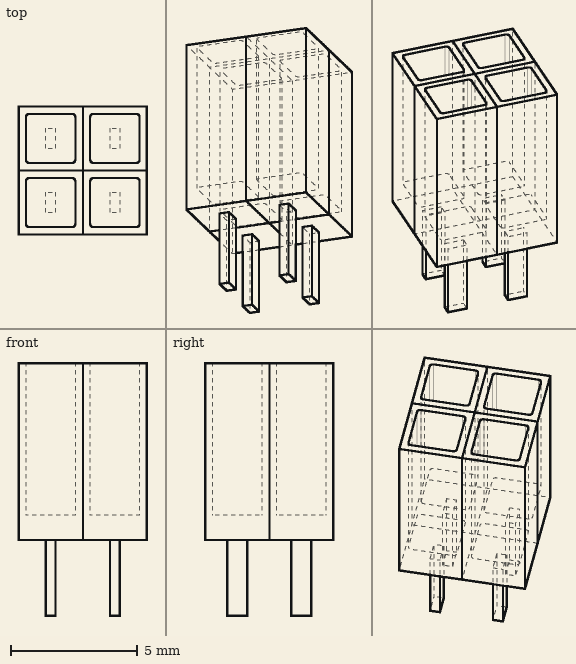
import cadquery as cq

PITCH = 2.54
ROWS = 2
COLUMNS = 2
HOUSING_HEIGHT = 7.0
POCKET_WIDTH = 1.95
POCKET_CORNER_RADIUS = 0.13
POCKET_DEPTH = 6.0
PIN_THICKNESS = 0.4
PIN_WIDTH = 0.8
PIN_LENGTH = 3.0


def make_housing(x, y):
    """Square socket housing standing on Z = 0, with a blind pocket open at the top."""
    body = cq.Workplane("XY").rect(PITCH, PITCH).extrude(HOUSING_HEIGHT)
    pocket = (
        cq.Workplane("XY")
        .workplane(offset=HOUSING_HEIGHT - POCKET_DEPTH)
        .rect(POCKET_WIDTH, POCKET_WIDTH)
        .extrude(POCKET_DEPTH)
        .edges("|Z")
        .fillet(POCKET_CORNER_RADIUS)
    )
    return body.cut(pocket).translate((x, y, 0))


def make_pin(x, y):
    """Flat pin hanging from the underside of a housing."""
    pin = cq.Workplane("XY").rect(PIN_THICKNESS, PIN_WIDTH).extrude(-PIN_LENGTH)
    return pin.translate((x, y, 0))


centres = [
    ((column - (COLUMNS - 1) / 2) * PITCH, (row - (ROWS - 1) / 2) * PITCH)
    for row in range(ROWS)
    for column in range(COLUMNS)
]

housings = [make_housing(x, y).val() for x, y in centres]
pins = [make_pin(x, y).val() for x, y in centres]

result = cq.Compound.makeCompound([*housings, *pins])